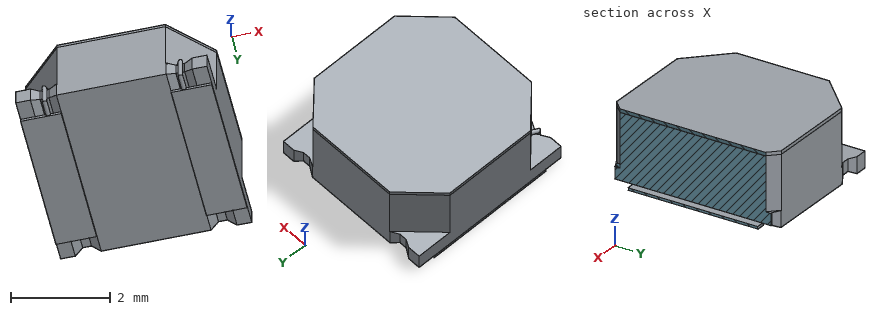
import cadquery as cq
import math

width = 3.95
total_height = 1.8
half_width = width / 2

pad_thickness = 0.067
flange_top = 0.455
lid_thickness = 0.08
lid_bottom = total_height - lid_thickness
corner_cut = 0.857

notch_center = 1.402
notch_mouth = 0.537
notch_floor = 0.18
notch_depth = 0.1

pad_width = 0.84
pad_end_margin = 0.42
pad_length = width - 2 * pad_end_margin
wire_radius = 0.0495
wire_bottom_gap = 0.01
wire_low_z = wire_bottom_gap + wire_radius
wire_high_z = flange_top + wire_radius
wire_front_y = -half_width + notch_depth
lead_angle = math.radians(27)
lead_length = 0.315


def octagon(bottom, top):
    """Square block with its four vertical corners cut off."""
    block = cq.Workplane("XY").box(width, width, top - bottom, centered=(True, True, False))
    return block.edges("|Z").chamfer(corner_cut).translate((0, 0, bottom))


def notch_profile(plane, x, edge, inward):
    """Trapezoid opening at `edge` and narrowing in the `inward` direction (+1 or -1)."""
    floor = edge + inward * notch_depth
    return cq.Workplane(plane).polyline([
        (x - notch_mouth / 2, edge),
        (x + notch_mouth / 2, edge),
        (x + notch_floor / 2, floor),
        (x - notch_floor / 2, floor),
    ]).close()


def make_wire(side):
    """Round wire: along the pad, up the front notch, then slanting in to the body wall."""
    x = side * notch_center
    lead_end = (
        x - side * lead_length * math.sin(lead_angle),
        wire_front_y + lead_length * math.cos(lead_angle),
        wire_high_z,
    )
    path = cq.Workplane("XY").polyline([
        (x, pad_length / 2, wire_low_z),
        (x, wire_front_y, wire_low_z),
        (x, wire_front_y, wire_high_z),
        lead_end,
    ])
    start = cq.Workplane("XZ", origin=(x, pad_length / 2, wire_low_z))
    wire = start.circle(wire_radius).sweep(path, transition="right")
    return wire.cut(octagon(flange_top, lid_bottom))


def make_terminal(side):
    """Pad with its wire, on the left (-1) or right (+1) side."""
    pad = cq.Workplane("XY").box(pad_width, pad_length, pad_thickness, centered=(True, True, False))
    pad = pad.translate((side * (half_width - pad_width / 2), 0, 0))
    return pad.union(make_wire(side))


def make_core(terminals):
    """Square flange with notches and wire grooves, carrying the octagonal body."""
    flange_height = flange_top - pad_thickness
    core = cq.Workplane("XY").box(width, width, flange_height, centered=(True, True, False))
    core = core.translate((0, 0, pad_thickness))
    for x in (-notch_center, notch_center):
        for end in (-1, 1):
            notch = notch_profile("XY", x, end * half_width, -end)
            core = core.cut(notch.extrude(flange_top))
        groove = notch_profile("XZ", x, pad_thickness, 1)
        core = core.cut(groove.extrude(half_width, both=True))
    core = core.union(octagon(flange_top, lid_bottom))
    for terminal in terminals:
        core = core.cut(terminal)
    return core


terminals = [make_terminal(side) for side in (-1, 1)]
core = make_core(terminals)
lid = octagon(lid_bottom, total_height)

result = cq.Compound.makeCompound([
    core.solids().val(),
    lid.solids().val(),
    *[terminal.solids().val() for terminal in terminals],
])